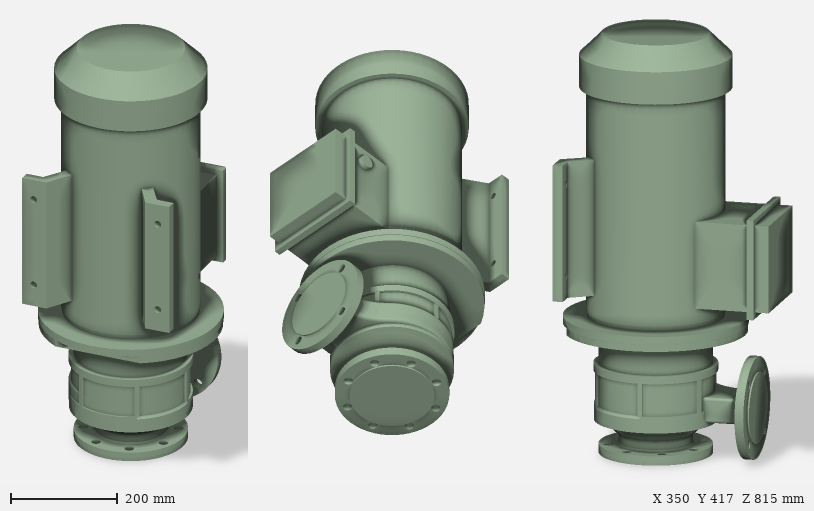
import cadquery as cq
import math


total_height = 815.0
total_depth = 417.0
joint_height = 254.0
motor_flange_top = 269.0
motor_neck_top = 278.0
fan_cover_bottom = 711.0
fan_cover_shoulder = 773.5
motor_flange_radius = 350.0 / 2
motor_neck_radius = 129.5
motor_body_radius = 131.0
fan_cover_radius = 144.0
fan_cover_top_radius = 102.0

foot_bottom = 320.0
foot_height = 263.0
foot_tip_x = 151.5
foot_face_y = -160.0
foot_thickness = 19.5
foot_heel_inner_x = 102.0
foot_heel_outer_x = 117.0
leg_root_inner = (67.0, -101.0)
leg_root_outer = (86.0, -91.0)
foot_hole_diameter = 14.0
foot_hole_x = 128.0
foot_hole_heights = (364.0, 543.0)

box_half_width = 85.5
box_bottom = 307.0
box_height = 168.0
box_front_y = total_depth - motor_flange_radius
box_root_y = 81.5
lid_overhang = 12.0
lid_y = 203.0
lid_thickness = 13.0
gland_radius = 14.0
gland_length = 11.5
gland_y = 168.0
gland_height = 434.0

pump_flange_bottom = 240.0
pump_flange_radius = 174.0
pump_flange_flat_y = -150.0
lantern_neck_radius = 107.5
ring_top = 178.0
ring_bottom = 163.0
ring_radius = 117.0
lantern_wall_radius = 112.5
casing_radius = 116.5
casing_top = 99.5
casing_bottom = 68.0
bell_middle = (89.0, 56.0)
bell_end_height = 41.5
bell_end_radius = 72.0
inlet_neck_radius = 70.0
inlet_neck_top = 38.0
inlet_neck_flare = 3.0

rib_count = 6
rib_width = 9.0
rib_radius = casing_radius
bevel_height = 5.0
bevel_start_angle = -60.0
bevel_sweep = 60.0

raised_face_height = 3.0
bolt_hole_diameter = 18.0
inlet_flange_radius = 107.5
inlet_flange_top = 21.0
inlet_face_radius = 80.0
inlet_bolt_radius = 90.0
inlet_bolt_count = 8
outlet_height = 101.0
outlet_face_y = 200.0
outlet_flange_radius = 98.0
outlet_flange_back_y = 179.0
outlet_face_radius = 68.5
outlet_bolt_radius = 80.0
outlet_bolt_count = 4

scroll_thickness = 49.0
scroll_edge_fillet = 6.0
scroll_start_angle = 255.0
scroll_end_angle = 135.0
scroll_start_radius = 112.0
scroll_end_radius = 125.0
scroll_steps = 10
pipe_half_width = 44.0
pipe_embed = 8.0
pipe_end_y = outlet_flange_back_y + pipe_embed


def revolve_about_axis(outline, angle=360.0):
    """Revolve an outline drawn as (radius, height) about the Z axis."""
    return outline.close().revolve(angle, (0, 0, 0), (0, 1, 0))


def foot(side):
    """One angled motor foot with two bolt holes; side is -1 or +1 along X."""
    foot_top_y = foot_face_y + foot_thickness
    points = [
        leg_root_inner,
        (foot_heel_inner_x, foot_face_y),
        (foot_tip_x, foot_face_y),
        (foot_tip_x, foot_top_y),
        (foot_heel_outer_x, foot_top_y),
        leg_root_outer,
    ]
    bracket = (
        cq.Workplane("XY", origin=(0, 0, foot_bottom))
        .polyline([(side * x, y) for x, y in points])
        .close()
        .extrude(foot_height)
    )
    holes = (
        cq.Workplane("XZ", origin=(0, foot_top_y, 0))
        .pushPoints([(side * foot_hole_x, height) for height in foot_hole_heights])
        .circle(foot_hole_diameter / 2)
        .extrude(foot_thickness)
    )
    return bracket.cut(holes)


def terminal_box():
    """Box on the +Y side with an overhanging lid plate and a gland on its -X wall."""
    box = cq.Workplane("XY").box(
        2 * box_half_width, box_front_y - box_root_y, box_height, centered=(True, False, False)
    ).translate((0, box_root_y, box_bottom))
    lid = cq.Workplane("XY").box(
        2 * (box_half_width + lid_overhang), lid_thickness, box_height + 2 * lid_overhang,
        centered=(True, False, False),
    ).translate((0, lid_y, box_bottom - lid_overhang))
    gland = (
        cq.Workplane("YZ", origin=(-box_half_width, 0, 0))
        .center(gland_y, gland_height)
        .circle(gland_radius)
        .extrude(-gland_length)
    )
    return box.union(lid).union(gland)


def make_motor():
    outline = (
        cq.Workplane("XZ")
        .moveTo(0, joint_height)
        .lineTo(motor_flange_radius, joint_height)
        .lineTo(motor_flange_radius, motor_flange_top)
        .lineTo(motor_neck_radius, motor_flange_top)
        .lineTo(motor_neck_radius, motor_neck_top)
        .lineTo(motor_body_radius, motor_neck_top)
        .lineTo(motor_body_radius, fan_cover_bottom)
        .lineTo(fan_cover_radius, fan_cover_bottom)
        .lineTo(fan_cover_radius, fan_cover_shoulder)
        .lineTo(fan_cover_top_radius, total_height)
        .lineTo(0, total_height)
    )
    motor = revolve_about_axis(outline).union(terminal_box())
    for side in (-1, 1):
        motor = motor.union(foot(side))
    return motor


def pump_core():
    """Turned shape of the pump, from the inlet face up to the motor joint."""
    outline = (
        cq.Workplane("XZ")
        .lineTo(inlet_face_radius, 0)
        .lineTo(inlet_face_radius, raised_face_height)
        .lineTo(inlet_flange_radius, raised_face_height)
        .lineTo(inlet_flange_radius, inlet_flange_top)
        .lineTo(inlet_neck_radius + inlet_neck_flare, inlet_flange_top)
        .lineTo(inlet_neck_radius, inlet_flange_top + inlet_neck_flare)
        .lineTo(inlet_neck_radius, inlet_neck_top)
        .lineTo(bell_end_radius, bell_end_height)
        .threePointArc(bell_middle, (casing_radius, casing_bottom))
        .lineTo(casing_radius, casing_top)
        .lineTo(lantern_wall_radius, casing_top)
        .lineTo(lantern_wall_radius, ring_bottom)
        .lineTo(ring_radius, ring_bottom)
        .lineTo(ring_radius, ring_top)
        .lineTo(lantern_neck_radius, ring_top)
        .lineTo(lantern_neck_radius, pump_flange_bottom)
        .lineTo(pump_flange_radius, pump_flange_bottom)
        .lineTo(pump_flange_radius, joint_height)
        .lineTo(0, joint_height)
    )
    return revolve_about_axis(outline)


def flange_flat_cut():
    """Block that trims the pump flange to a flat on the -Y side."""
    depth = pump_flange_radius + pump_flange_flat_y
    return cq.Workplane("XY").box(
        2 * pump_flange_radius, depth, joint_height - pump_flange_bottom, centered=(True, False, False)
    ).translate((0, -pump_flange_radius, pump_flange_bottom))


def lantern_rib(angle):
    """Upright rib between the casing and the ring."""
    rib = cq.Workplane("XY").box(
        rib_radius, rib_width, ring_bottom - casing_top, centered=(False, True, False)
    )
    return rib.translate((0, 0, casing_top)).rotate((0, 0, 0), (0, 0, 1), angle)


def casing_bevel_cut():
    """Bevel on the casing's top edge, between two ribs."""
    outline = (
        cq.Workplane("XZ")
        .moveTo(lantern_wall_radius, casing_top)
        .lineTo(casing_radius, casing_top)
        .lineTo(casing_radius, casing_top - bevel_height)
    )
    bevel = revolve_about_axis(outline, bevel_sweep)
    return bevel.rotate((0, 0, 0), (0, 0, 1), bevel_start_angle)


def spiral_point(step):
    """Point on the scroll's outer wall, whose radius changes evenly with angle."""
    share = step / scroll_steps
    angle = math.radians(scroll_start_angle + share * (scroll_end_angle - scroll_start_angle))
    radius = scroll_start_radius + share * (scroll_end_radius - scroll_start_radius)
    return (radius * math.cos(angle), radius * math.sin(angle))


def scroll():
    """Spiral passage that sweeps from the casing into the outlet pipe."""
    spiral = [spiral_point(step) for step in range(scroll_steps + 1)]
    end_angle = math.radians(scroll_end_angle)
    pipe_corner = (-pipe_half_width, outlet_flange_back_y)
    end_direction = (math.sin(end_angle), -math.cos(end_angle))
    return (
        cq.Workplane("XY", origin=(0, 0, outlet_height - scroll_thickness / 2))
        .moveTo(*spiral[0])
        .spline(spiral[1:], includeCurrent=True)
        .spline([pipe_corner], tangents=[end_direction, (0, 1)], includeCurrent=True)
        .lineTo(-pipe_half_width, pipe_end_y)
        .lineTo(pipe_half_width, pipe_end_y)
        .lineTo(pipe_half_width, 0)
        .close()
        .extrude(scroll_thickness)
        .faces("|Z")
        .edges()
        .fillet(scroll_edge_fillet)
    )


def outlet_flange():
    """Drilled round flange with a raised face on its +Y side."""
    back = cq.Workplane("XZ", origin=(0, outlet_flange_back_y, outlet_height))
    face_depth = outlet_face_y - outlet_flange_back_y
    disc = back.circle(outlet_flange_radius).extrude(raised_face_height - face_depth)
    raised_face = back.circle(outlet_face_radius).extrude(-face_depth)
    holes = (
        back.polarArray(outlet_bolt_radius, 180 / outlet_bolt_count, 360, outlet_bolt_count)
        .circle(bolt_hole_diameter / 2)
        .extrude(-face_depth)
    )
    return disc.union(raised_face).cut(holes)


def inlet_bolt_holes():
    return (
        cq.Workplane("XY")
        .polarArray(inlet_bolt_radius, 180 / inlet_bolt_count, 360, inlet_bolt_count)
        .circle(bolt_hole_diameter / 2)
        .extrude(inlet_flange_top)
    )


def make_pump():
    pump = pump_core().cut(flange_flat_cut()).cut(inlet_bolt_holes()).cut(casing_bevel_cut())
    for index in range(rib_count):
        pump = pump.union(lantern_rib(index * 360 / rib_count))
    return pump.union(scroll()).union(outlet_flange())


motor = make_motor()
pump = make_pump()

result = cq.Compound.makeCompound([*motor.solids().vals(), *pump.solids().vals()])